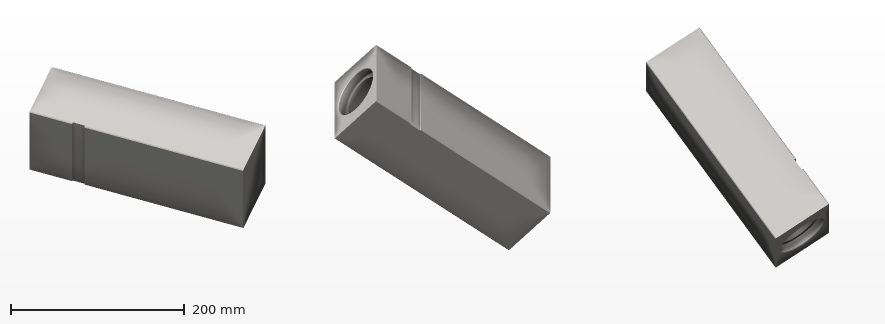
import cadquery as cq

length = 262.0
width = 75.0
height = 100.0
edge_chamfer = 1.0

bore_diameter = 50.0
counterbore_diameter = 61.3
counterbore_depth = 10.5
mouth_chamfer = 0.8
end_wall = (width - bore_diameter) / 2
bore_depth = length - end_wall

keyway_start = 52.5
keyway_width = 15.0
keyway_depth = 2.0


def make_block():
    block = cq.Workplane("XY").box(length, width, height, centered=(False, True, True))
    return block.edges("|X").chamfer(edge_chamfer)


def make_bore():
    """Half profile of the stepped bore, revolved about the X axis."""
    bore_radius = bore_diameter / 2
    counterbore_radius = counterbore_diameter / 2
    profile = [
        (0, 0),
        (0, counterbore_radius + mouth_chamfer),
        (mouth_chamfer, counterbore_radius),
        (counterbore_depth, counterbore_radius),
        (counterbore_depth, bore_radius),
        (bore_depth, bore_radius),
        (bore_depth, 0),
    ]
    return cq.Workplane("XY").polyline(profile).close().revolve(360, (0, 0), (1, 0))


def make_keyway():
    keyway = cq.Workplane("XY").box(keyway_width, keyway_depth, height, centered=(False, False, True))
    return keyway.translate((keyway_start, -width / 2, 0))


result = make_block().cut(make_bore()).cut(make_keyway())